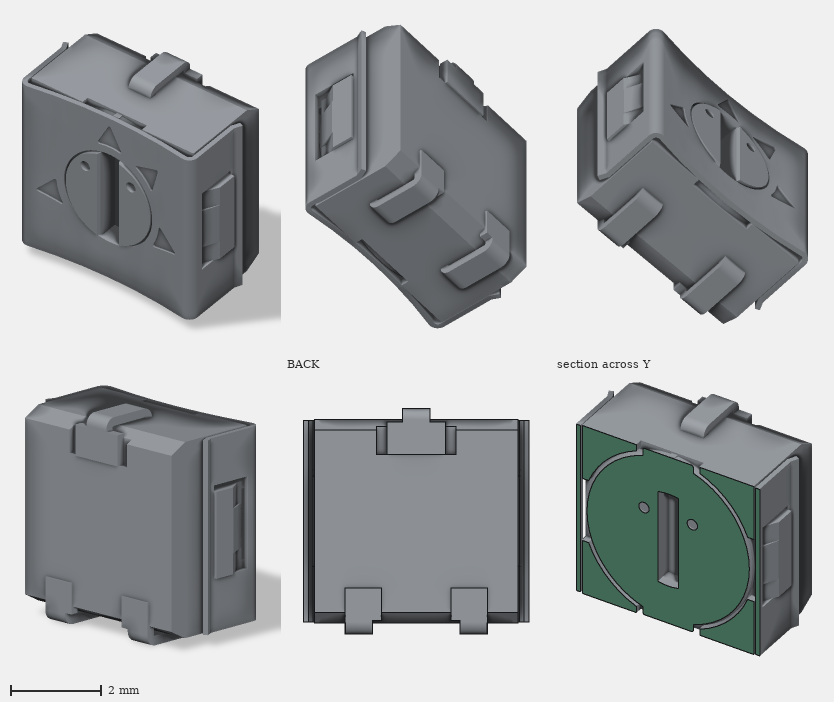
import cadquery as cq
import math

OVERALL_WIDTH = 5.0
OVERALL_DEPTH = 2.73
OVERALL_HEIGHT = 5.0
BOARD_Y = OVERALL_DEPTH / 2

BODY_SIZE = 4.51
BODY_HALF = BODY_SIZE / 2
BODY_BACK_Y = BOARD_Y - 0.055
BODY_FRONT_Y = -1.085
CHAMFER_DEPTH = 0.435
CHAMFER_HEIGHT = 0.23

CAVITY_RADIUS = 2.24
CAVITY_OPENING_WIDTH = 1.65
CAVITY_FLOOR_Y = -0.9
DISK_RADIUS = 2.19
DISK_CHAMFER = 0.07
DISK_FRONT_Y = -1.1
TAB_X = 0.067
TAB_WIDTH = 0.155
TAB_RADIUS = 2.215
KNOB_RADIUS = 1.177
KNOB_FRONT_Y = -1.245
SLOT_WIDTH = 0.525
SLOT_DEPTH = 0.6
SLOT_CHAMFER_WIDTH = 0.043
SLOT_CHAMFER_DEPTH = 0.07
DIMPLE_X = 0.635
DIMPLE_Z = 0.64
DIMPLE_RADIUS = 0.13
DIMPLE_DEPTH = 0.2

SHEET = 0.12
COVER_HALF_WIDTH = 2.41
COVER_HEIGHT = 4.47
COVER_CENTER_Y = -1.187
COVER_SAG = 0.219
COVER_BEND_RADIUS = 0.225
FLARE_START_Y = 0.205
FLARE_ANGLE = math.radians(25)
FLARE_OUT = OVERALL_WIDTH / 2 - COVER_HALF_WIDTH
COVER_HOLE_RADIUS = 1.227
WINDOW_BACK_Y = 0.108
WINDOW_FRONT_Y = -0.979
WINDOW_TOP_Z = 1.133

LATCH_HALF_HEIGHT = 0.998
LATCH_X = 2.49
LATCH_BASE_X = 2.28
LATCH_RAMP_START_Y = -0.414
LATCH_RAMP_END_Y = -0.762
LATCH_MIDDLE_HALF_HEIGHT = 0.51
LATCH_MIDDLE_START_Y = -0.433

ARROW_ANGLES = (-16.6, 46.5, 90, 196.6)
ARROW_TIP_RADIUS = 2.055
ARROW_BASE_RADIUS = 1.425
ARROW_HALF_WIDTH = 0.365
ARROW_ROUNDING = 0.04
ARROW_DEPTH = 0.05

TERMINAL_WIDTH = 0.61
TERMINAL_THICKNESS = 0.2
TERMINAL_FRONT_Y = -0.093
TERMINAL_BEND_RADIUS = 0.25
TERMINAL_INNER_RADIUS = 0.04
TERMINAL_PITCH = 2.54
PAD_INNER_Z = 1.48
PAD_OUTER_Z = 2.197
TOP_PAD_WIDTH = 1.3
BOTTOM_PAD_WIDTH = 0.8
TOP_RECESS_WIDTH = 1.765


def box(x_range, y_range, z_range):
    """Box between two coordinates on each axis."""
    sizes = [high - low for low, high in (x_range, y_range, z_range)]
    corner = (x_range[0], y_range[0], z_range[0])
    return cq.Workplane("XY").box(*sizes, centered=False).translate(corner)


def disc(radius, front_y, back_y, x=0, z=0):
    """Cylinder along Y between two depths."""
    plane = cq.Workplane("XZ", origin=(0, back_y, 0))
    return plane.center(x, z).circle(radius).extrude(back_y - front_y)


def make_body():
    """Square block with both long back edges chamfered and a round front cavity open on all four sides."""
    chamfer_y = BODY_BACK_Y - CHAMFER_DEPTH
    chamfer_z = BODY_HALF - CHAMFER_HEIGHT
    outline = [
        (BODY_FRONT_Y, -BODY_HALF),
        (chamfer_y, -BODY_HALF),
        (BODY_BACK_Y, -chamfer_z),
        (BODY_BACK_Y, chamfer_z),
        (chamfer_y, BODY_HALF),
        (BODY_FRONT_Y, BODY_HALF),
    ]
    block = cq.Workplane("YZ").polyline(outline).close().extrude(BODY_HALF, both=True)
    cavity = disc(CAVITY_RADIUS, BODY_FRONT_Y, CAVITY_FLOOR_Y)
    opening = (-CAVITY_OPENING_WIDTH / 2, CAVITY_OPENING_WIDTH / 2)
    full = (-BODY_HALF, BODY_HALF)
    cavity_y = (BODY_FRONT_Y, CAVITY_FLOOR_Y)
    cavity = cavity.union(box(opening, cavity_y, full)).union(box(full, cavity_y, opening))
    recess_y = (BOARD_Y - TERMINAL_THICKNESS, BODY_BACK_Y)
    recess_x = (-TOP_RECESS_WIDTH / 2, TOP_RECESS_WIDTH / 2)
    recess = box(recess_x, recess_y, (PAD_INNER_Z, BODY_HALF))
    return block.cut(cavity).cut(recess)


def latch_wedge(ramp_start_y, ramp_end_y, half_height):
    """Latch on the +X side whose face ramps down to its base towards the front."""
    outline = [
        (0, WINDOW_BACK_Y),
        (LATCH_X, WINDOW_BACK_Y),
        (LATCH_X, ramp_start_y),
        (LATCH_BASE_X, ramp_end_y),
        (0, ramp_end_y),
    ]
    return cq.Workplane("XY").polyline(outline).close().extrude(half_height, both=True)


def make_latches():
    """Both side latches, each with a slightly prouder middle."""
    ends = latch_wedge(LATCH_RAMP_START_Y, LATCH_RAMP_END_Y, LATCH_HALF_HEIGHT)
    middle = latch_wedge(LATCH_MIDDLE_START_Y, CAVITY_FLOOR_Y, LATCH_MIDDLE_HALF_HEIGHT)
    base_z = (-LATCH_HALF_HEIGHT, LATCH_HALF_HEIGHT)
    base = box((0, LATCH_BASE_X), (CAVITY_FLOOR_Y, WINDOW_BACK_Y), base_z)
    latch = base.union(ends).union(middle)
    return latch.union(latch.mirror("YZ"))


def make_rotor():
    """Disk with a key tab and a slotted knob carrying two dimples."""
    rotor = disc(DISK_RADIUS, DISK_FRONT_Y, CAVITY_FLOOR_Y)
    rotor = rotor.faces("<Y").chamfer(DISK_CHAMFER)
    tab_x = (TAB_X - TAB_WIDTH / 2, TAB_X + TAB_WIDTH / 2)
    tab_y = (DISK_FRONT_Y + DISK_CHAMFER, CAVITY_FLOOR_Y)
    rotor = rotor.union(box(tab_x, tab_y, (0, TAB_RADIUS)))
    rotor = rotor.union(disc(KNOB_RADIUS, KNOB_FRONT_Y, CAVITY_FLOOR_Y))
    for x in (-DIMPLE_X, DIMPLE_X):
        dimple = disc(DIMPLE_RADIUS, KNOB_FRONT_Y, KNOB_FRONT_Y + DIMPLE_DEPTH, x, DIMPLE_Z)
        rotor = rotor.cut(dimple)
    return rotor


def make_slot():
    """Screwdriver slot with chamfered lips, ending on the cover's round hole."""
    half = SLOT_WIDTH / 2
    lip = half + SLOT_CHAMFER_WIDTH
    floor_y = KNOB_FRONT_Y + SLOT_DEPTH
    lip_y = KNOB_FRONT_Y + SLOT_CHAMFER_DEPTH
    outline = [
        (-half, floor_y),
        (-half, lip_y),
        (-lip, KNOB_FRONT_Y),
        (lip, KNOB_FRONT_Y),
        (half, lip_y),
        (half, floor_y),
    ]
    bar = cq.Workplane("XY").polyline(outline).close().extrude(COVER_HOLE_RADIUS, both=True)
    return bar.intersect(disc(COVER_HOLE_RADIUS, KNOB_FRONT_Y, floor_y))


def cover_form(inset):
    """Solid bounded by the cover's outer surface moved inwards by an inset.

    Its front is a shallow arc that bows inwards, so the inset form has the larger arc radius.
    """
    half = COVER_HALF_WIDTH - inset
    arc_radius = (COVER_HALF_WIDTH**2 + COVER_SAG**2) / (2 * COVER_SAG)
    arc_center_y = COVER_CENTER_Y - arc_radius
    radius = arc_radius + inset
    corner_y = arc_center_y + math.sqrt(radius**2 - half**2)
    knee_y = FLARE_START_Y + inset * math.tan(FLARE_ANGLE / 2)
    tip_x = COVER_HALF_WIDTH + FLARE_OUT - inset * math.cos(FLARE_ANGLE)
    tip_y = FLARE_START_Y + FLARE_OUT / math.tan(FLARE_ANGLE) + inset * math.sin(FLARE_ANGLE)
    peak_y = tip_y + tip_x * math.tan(FLARE_ANGLE)
    form = (
        cq.Workplane("XY")
        .moveTo(-tip_x, tip_y)
        .lineTo(-half, knee_y)
        .lineTo(-half, corner_y)
        .threePointArc((0, arc_center_y + radius), (half, corner_y))
        .lineTo(half, knee_y)
        .lineTo(tip_x, tip_y)
        .lineTo(0, peak_y)
        .close()
        .extrude(COVER_HEIGHT / 2, both=True)
    )
    left_bend = cq.NearestToPointSelector((-half, corner_y, 0))
    right_bend = cq.NearestToPointSelector((half, corner_y, 0))
    return form.edges(left_bend + right_bend).fillet(COVER_BEND_RADIUS - inset)


def make_arrow(angle):
    """Prism of a rounded triangle whose tip points outwards at an angle from +X."""
    base_x = math.sqrt(ARROW_BASE_RADIUS**2 - ARROW_HALF_WIDTH**2)
    return (
        cq.Workplane("XZ")
        .moveTo(base_x, -ARROW_HALF_WIDTH)
        .lineTo(ARROW_TIP_RADIUS, 0)
        .lineTo(base_x, ARROW_HALF_WIDTH)
        .threePointArc((ARROW_BASE_RADIUS, 0), (base_x, -ARROW_HALF_WIDTH))
        .close()
        .extrude(OVERALL_DEPTH)
        .edges("|Y")
        .fillet(ARROW_ROUNDING)
        .rotate((0, 0, 0), (0, 1, 0), -angle)
    )


def make_cover():
    """Bent cover with side windows, a round hole and engraved arrows."""
    outside = cover_form(0)
    cover = outside.cut(cover_form(SHEET))
    window_z = (-LATCH_HALF_HEIGHT, WINDOW_TOP_Z)
    window_x = (-COVER_HALF_WIDTH, COVER_HALF_WIDTH)
    cover = cover.cut(box(window_x, (WINDOW_FRONT_Y, WINDOW_BACK_Y), window_z))
    cover = cover.cut(disc(COVER_HOLE_RADIUS, -BOARD_Y, CAVITY_FLOOR_Y))
    skin = outside.cut(cover_form(ARROW_DEPTH))
    for angle in ARROW_ANGLES:
        cover = cover.cut(skin.intersect(make_arrow(angle)))
    return cover


def make_terminal(x, pad_x_range):
    """Top-side strip from the body's top bent back to the board, with a pad on the back."""
    top_z = OVERALL_HEIGHT / 2
    inner_top_z = top_z - TERMINAL_THICKNESS
    inner_back_y = BOARD_Y - TERMINAL_THICKNESS
    x_range = (x - TERMINAL_WIDTH / 2, x + TERMINAL_WIDTH / 2)
    strip = box(x_range, (TERMINAL_FRONT_Y, BOARD_Y), (PAD_INNER_Z, top_z))
    strip = strip.edges("|X and >Z").fillet(TERMINAL_BEND_RADIUS)
    inner_y = (TERMINAL_FRONT_Y + TERMINAL_THICKNESS, inner_back_y)
    inside = box(x_range, inner_y, (PAD_INNER_Z, inner_top_z))
    inside = inside.edges("|X and >Z").fillet(TERMINAL_INNER_RADIUS)
    pad = box(pad_x_range, (inner_back_y, BOARD_Y), (PAD_INNER_Z, PAD_OUTER_Z))
    return strip.cut(inside).union(pad)


def make_terminals():
    """One terminal on top and a mirrored pair at the bottom."""
    top_pad = (-TOP_PAD_WIDTH / 2, TOP_PAD_WIDTH / 2)
    terminals = make_terminal(0, top_pad)
    bottom_outer_x = (TERMINAL_PITCH + TERMINAL_WIDTH) / 2
    bottom_pad = (bottom_outer_x - BOTTOM_PAD_WIDTH, bottom_outer_x)
    bottom = make_terminal(TERMINAL_PITCH / 2, bottom_pad)
    bottom = bottom.mirror("XY")
    return terminals.union(bottom).union(bottom.mirror("YZ"))


result = make_body().union(make_latches()).union(make_rotor()).union(make_cover())
result = result.cut(make_slot()).union(make_terminals())